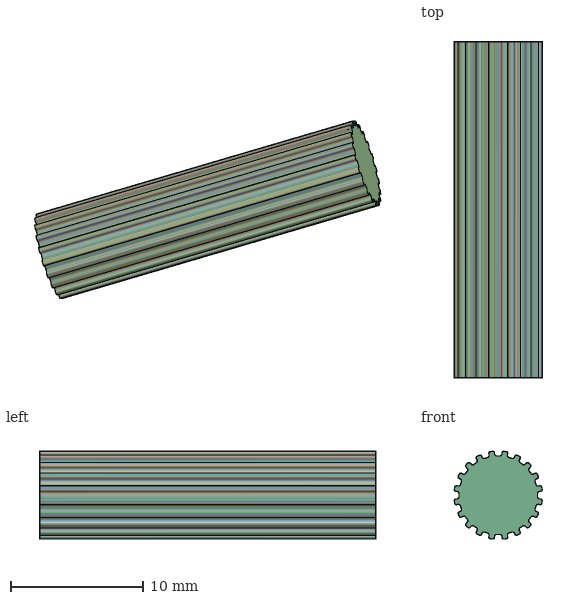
import cadquery as cq
import math

LENGTH = 25.4
TOOTH_COUNT = 20
TIP_RADIUS = 3.3528
ROOT_RADIUS = 2.972
GROOVE_WIDTH = 0.508
WALL_LEAN = 7.5
ROOT_FILLET = 0.162
TIP_FILLET = 0.127

PITCH_ANGLE = 360 / TOOTH_COUNT


def polar(radius, angle_from_z):
    """Point at a radius and at an angle in degrees, measured from +Z towards +X."""
    angle = math.radians(angle_from_z)
    return radius * math.sin(angle), radius * math.cos(angle)


def rotated(point, turn):
    """Point turned about the bar axis by an angle in degrees, from +Z towards +X."""
    x, z = point
    angle = math.radians(turn)
    cos_turn = math.cos(angle)
    sin_turn = math.sin(angle)
    return x * cos_turn + z * sin_turn, z * cos_turn - x * sin_turn


def mirrored(point):
    """Point on the opposite side of the groove's centre line."""
    x, z = point
    return -x, z


def offset(point, distance, direction_from_z):
    """Point moved a distance in a direction given in degrees from +Z towards +X."""
    step_x, step_z = polar(distance, direction_from_z)
    return point[0] + step_x, point[1] + step_z


def groove_side():
    """Points of the right half of the groove at +Z, from its floor out to the tooth tip.

    The points are found with the wall upright at x = wall_x, then leaned over about the axis.
    """
    wall_x, _ = rotated((GROOVE_WIDTH / 2, ROOT_RADIUS), -WALL_LEAN)
    towards_wall = 90
    away_from_tooth = -90

    root_centre_radius = ROOT_RADIUS + ROOT_FILLET
    root_angle = math.degrees(math.asin((wall_x - ROOT_FILLET) / root_centre_radius))
    root_centre = polar(root_centre_radius, root_angle)
    towards_axis = root_angle + 180
    floor_end = polar(ROOT_RADIUS, root_angle)
    root_middle = offset(root_centre, ROOT_FILLET, (towards_axis + towards_wall) / 2)
    wall_bottom = offset(root_centre, ROOT_FILLET, towards_wall)

    tip_centre_radius = TIP_RADIUS - TIP_FILLET
    tip_angle = math.degrees(math.asin((wall_x + TIP_FILLET) / tip_centre_radius))
    tip_centre = polar(tip_centre_radius, tip_angle)
    wall_top = offset(tip_centre, TIP_FILLET, away_from_tooth)
    tip_middle = offset(tip_centre, TIP_FILLET, (away_from_tooth + tip_angle) / 2)
    tip_start = polar(TIP_RADIUS, tip_angle)

    upright_side = (floor_end, root_middle, wall_bottom, wall_top, tip_middle, tip_start)
    return [rotated(point, WALL_LEAN) for point in upright_side]


def toothed_outline():
    """Closed cross-section: each groove floor followed by the tooth beside it."""
    side = groove_side()
    outline = cq.Workplane("XZ").moveTo(*mirrored(side[0]))
    for index in range(TOOTH_COUNT):
        turn = index * PITCH_ANGLE
        next_turn = turn + PITCH_ANGLE
        tooth_angle = turn + PITCH_ANGLE / 2

        rising = [rotated(point, turn) for point in side]
        falling = [rotated(mirrored(point), next_turn) for point in side]
        floor_end, root_middle, wall_bottom, wall_top, tip_middle, tip_start = rising
        next_floor, next_root_middle, next_bottom, next_top, next_tip_middle, tip_end = falling

        outline = (
            outline.threePointArc(polar(ROOT_RADIUS, turn), floor_end)
            .threePointArc(root_middle, wall_bottom)
            .lineTo(*wall_top)
            .threePointArc(tip_middle, tip_start)
            .threePointArc(polar(TIP_RADIUS, tooth_angle), tip_end)
            .threePointArc(next_tip_middle, next_top)
            .lineTo(*next_bottom)
            .threePointArc(next_root_middle, next_floor)
        )
    return outline.close()


result = toothed_outline().extrude(LENGTH / 2, both=True)